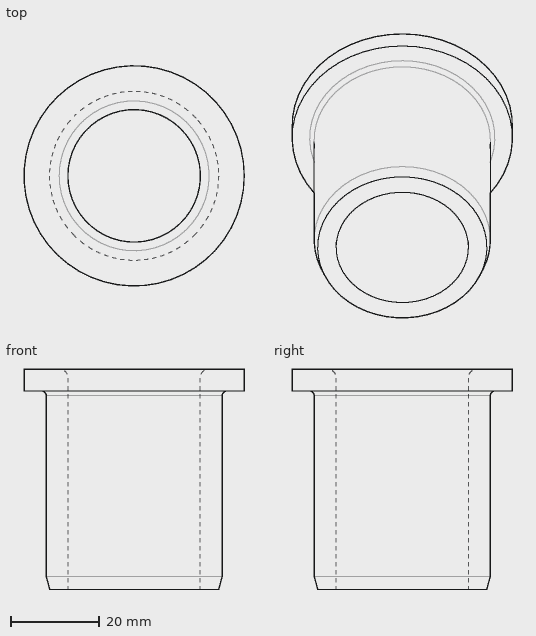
import cadquery as cq
import math

height = 50.0
flange_diameter = 50.0
flange_thickness = 5.0
body_diameter = 40.0
bore_diameter = 30.0

bore_round_radius = 2.0
neck_fillet_radius = 1.0
lead_in_height = 3.0
lead_in_angle = 15.0

flange_bottom = height - flange_thickness
lead_in_depth = lead_in_height * math.tan(math.radians(lead_in_angle))


def make_body():
    """Sleeve with a tapered lead-in at its lower end."""
    body_radius = body_diameter / 2
    return (
        cq.Workplane("XZ")
        .lineTo(body_radius - lead_in_depth, 0)
        .lineTo(body_radius, lead_in_height)
        .lineTo(body_radius, flange_bottom)
        .lineTo(0, flange_bottom)
        .close()
        .revolve(360, (0, 0, 0), (0, 1, 0))
    )


def make_flange():
    """Collar at the upper end."""
    return (
        cq.Workplane("XY", origin=(0, 0, flange_bottom))
        .circle(flange_diameter / 2)
        .extrude(flange_thickness)
    )


bushing = make_body().union(make_flange())

neck_corner = cq.selectors.RadiusNthSelector(-2)
bushing = bushing.edges(neck_corner).edges(">Z").fillet(neck_fillet_radius)

bushing = bushing.faces(">Z").workplane().hole(bore_diameter)
bore_mouth = cq.selectors.RadiusNthSelector(0)
result = bushing.faces(">Z").edges(bore_mouth).fillet(bore_round_radius)